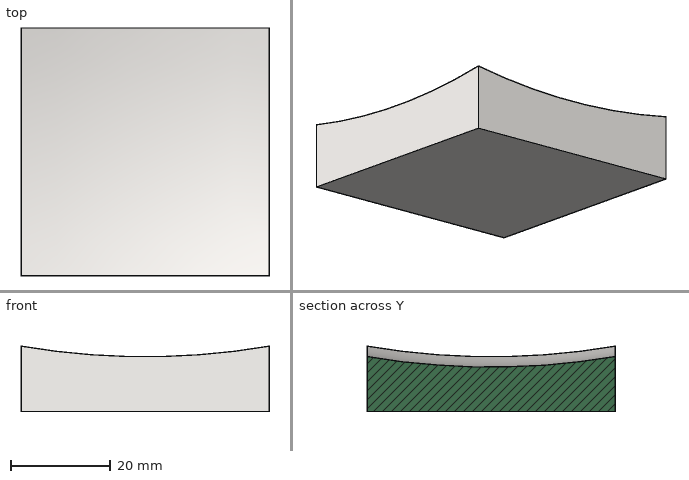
import cadquery as cq

side = 50.0
center_thickness = 9.0
dish_radius = 150.0

dish_center_z = center_thickness + dish_radius
blank_height = 2 * center_thickness

blank = cq.Workplane("XY").box(side, side, blank_height, centered=(True, True, False))

dish_sphere = (
    cq.Workplane("XZ", origin=(0, 0, dish_center_z))
    .moveTo(-dish_radius, 0)
    .threePointArc((0, -dish_radius), (dish_radius, 0))
    .close()
    .revolve(360, (0, 0, 0), (1, 0, 0))
)

result = blank.cut(dish_sphere)